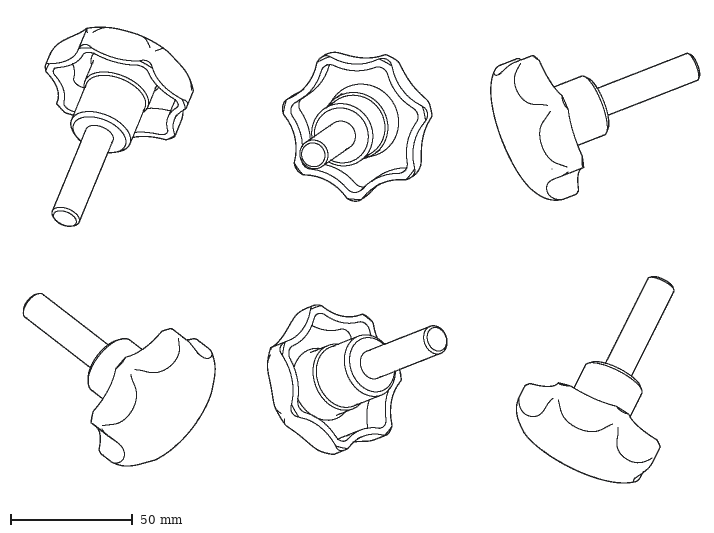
import cadquery as cq
import math

lobe_count = 7
half_pitch = math.pi / lobe_count
first_lobe_angle = -math.pi / 2

tip_circle_diameter = 63.0
tip_reach = tip_circle_diameter / 2
valley_reach = 26.0
scallop_radius = 21.25

wall = 2.8
cavity_tip_reach = 27.6
cavity_valley_reach = valley_reach - wall
cavity_scallop_radius = 22.1
cavity_depth = 12.8

dome_height = 18.95
dome_edge_height = 15.2
dome_edge_radius = 24.3
shoulder_start = 5.8
rim_chamfer = 1.0

hub_radius = 13.0
hub_end = -21.0
hub_chamfer = 1.5
hub_root_radius = 28.0 / 2
stud_radius = 12.0 / 2
overall_length = 85.0
stud_end = dome_height - overall_length
stud_chamfer = 1.0

groove_outer_radius = 17.3
groove_inner_radius = 15.2
groove_depth = 0.7
root_fillet = groove_inner_radius - hub_root_radius


def polar(radius, angle):
    return radius * math.cos(angle), radius * math.sin(angle)


def lobed_prism(tip, valley, scallop, height):
    """Star of rounded tips tangent to concave scallops, extruded from y = 0 to height."""
    scallop_center = valley + scallop
    along = scallop_center * math.cos(half_pitch)
    tip_radius = (scallop_center**2 - 2 * along * tip + tip**2 - scallop**2) / (
        2 * (scallop - along + tip)
    )
    share = tip_radius / (tip_radius + scallop)
    tip_x = tip - tip_radius
    tangent_x = tip_x + share * (along - tip_x)
    tangent_y = share * scallop_center * math.sin(half_pitch)
    tangent_reach = math.hypot(tangent_x, tangent_y)
    tangent_angle = math.atan2(tangent_y, tangent_x)

    outline = cq.Workplane("XZ").moveTo(*polar(tangent_reach, first_lobe_angle - tangent_angle))
    for lobe in range(lobe_count):
        angle = first_lobe_angle + 2 * half_pitch * lobe
        next_angle = angle + 2 * half_pitch
        outline = outline.threePointArc(
            polar(tip, angle), polar(tangent_reach, angle + tangent_angle)
        )
        outline = outline.threePointArc(
            polar(valley, angle + half_pitch),
            polar(tangent_reach, next_angle - tangent_angle),
        )
    return outline.close().extrude(-height)


def revolve_about_y(profile):
    return profile.close().revolve(360, (0, 0, 0), (0, 1, 0))


def crown():
    """Turned envelope: chamfered rim, round shoulder and shallow dome."""
    sag = dome_height - dome_edge_height
    dome_radius = (dome_edge_radius**2 + sag**2) / (2 * sag)
    edge_slope = math.asin(dome_edge_radius / dome_radius)
    profile = (
        cq.Workplane("XY")
        .lineTo(tip_reach - rim_chamfer, 0)
        .lineTo(tip_reach, rim_chamfer)
        .lineTo(tip_reach, shoulder_start)
        .tangentArcPoint((dome_edge_radius, dome_edge_height), relative=False)
        .threePointArc(
            (
                dome_radius * math.sin(edge_slope / 2),
                dome_height - dome_radius * (1 - math.cos(edge_slope / 2)),
            ),
            (0, dome_height),
        )
    )
    return revolve_about_y(profile)


def floor_groove():
    """Groove with a conical outer side, reaching in to the hub axis."""
    profile = (
        cq.Workplane("XY")
        .moveTo(0, cavity_depth)
        .lineTo(groove_outer_radius, cavity_depth)
        .lineTo(groove_inner_radius, cavity_depth + groove_depth)
        .lineTo(0, cavity_depth + groove_depth)
    )
    return revolve_about_y(profile)


def hub_and_stud():
    root = cavity_depth + groove_depth
    step = hub_root_radius - hub_radius
    profile = (
        cq.Workplane("XY")
        .moveTo(0, stud_end)
        .lineTo(stud_radius - stud_chamfer, stud_end)
        .lineTo(stud_radius, stud_end + stud_chamfer)
        .lineTo(stud_radius, hub_end)
        .lineTo(hub_radius - hub_chamfer, hub_end)
        .lineTo(hub_radius, hub_end + hub_chamfer)
        .lineTo(hub_radius, 0)
        .lineTo(hub_root_radius, step)
        .lineTo(hub_root_radius, root - root_fillet)
        .tangentArcPoint((groove_inner_radius, root), relative=False)
        .lineTo(0, root)
    )
    return revolve_about_y(profile)


head = crown().intersect(lobed_prism(tip_reach, valley_reach, scallop_radius, dome_height))
cavity = lobed_prism(cavity_tip_reach, cavity_valley_reach, cavity_scallop_radius, cavity_depth)
result = head.cut(cavity).cut(floor_groove()).union(hub_and_stud())